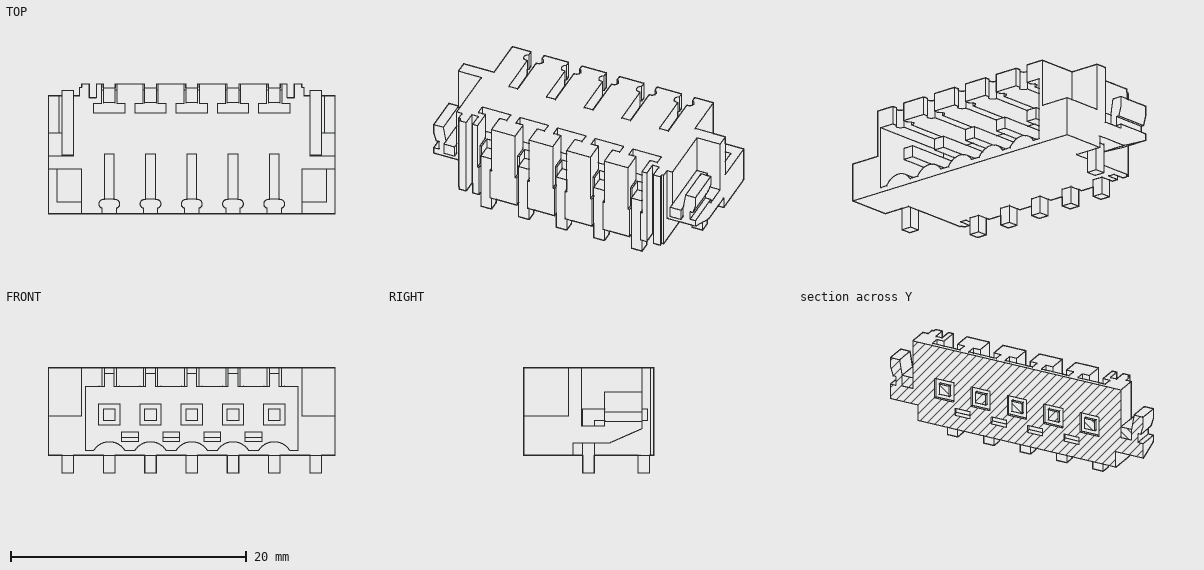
import cadquery as cq


housing_length = 24.35
housing_depth = 11.05
housing_height = 7.45
half_length = housing_length / 2
core_half = 9.35
rear_step_half = 9.53
rear_step_end = 10.75
side_half = 10.03
side_end = 10.05

pin_count = 5
pitch = 3.5
pin_positions = [(i - (pin_count - 1) / 2) * pitch for i in range(pin_count)]
gap_positions = [x + pitch / 2 for x in pin_positions[:-1]]
pin_size = 1.0
pin_axis_z = 3.46
pin_bottom = pin_axis_z - pin_size / 2
pin_top = pin_axis_z + pin_size / 2
tail_length = 1.5
contact_tip = 1.27
contact_rear = 10.7
contact_leg_front = contact_rear - pin_size

anchor_x = side_half + pin_size / 2
anchor_front = 5.0
anchor_rear = 10.5

cavity_half = 9.0
cavity_floor = 0.43
cavity_roof = 5.85
cavity_depth = 8.0
ridge_half_width = 1.32
ridge_height = 0.73
collar_size = 1.8
collar_depth = 0.4
window_width = 1.42
window_bottom = 1.16
window_ramp_top = 1.54
window_top = 1.98
window_depth = 0.4

slot_width = 0.83
slot_end = 5.07
slot_skin = 0.5
keyhole_width = 1.77
keyhole_length = 0.75
keyhole_center = 0.85
keyhole_neck = 1.22

pocket_width = 2.65
pocket_front = 8.55
pocket_rear = 9.37
pocket_floor = 4.9
notch_width = 1.3
notch_front = 9.46
notch_mouth = 10.53
notch_mouth_floor = pin_bottom
rear_slit_x = 8.4
rear_slit_width = 0.6
rear_slit_depth = 1.18

flange_front = 3.82
flange_rear = 4.93
corner_height = 3.35
corner_wall_side = 0.75
corner_wall_front = 1.02
corner_floor = cavity_floor

undercut_front = 4.17
undercut_height = 1.04
wedge_start = 7.25
wedge_end_height = 2.27
shelf_height = 2.5
arm_front = 6.87
arm_top = 5.37
arm_bevel_head = 4.46
arm_groove_top = 3.67
arm_groove_bottom = 2.87
arm_groove_depth = 0.5
arm_inner = side_half + pin_size
arm_bevel = 0.24


def box(x0, x1, y0, y1, z0, z1):
    """Axis-aligned block between two opposite corners."""
    return cq.Workplane("XY").box(x1 - x0, y1 - y0, z1 - z0, centered=False).translate((x0, y0, z0))


def centered_box(x, width, y0, y1, z0, z1):
    """Block centred on x along the pin row."""
    return box(x - width / 2, x + width / 2, y0, y1, z0, z1)


def angled_pin(x, front, rear, leg_front):
    """Square pin: a horizontal bar with a leg passing down through the board."""
    bar = centered_box(x, pin_size, front, rear, pin_bottom, pin_top)
    leg = centered_box(x, pin_size, leg_front, leg_front + pin_size, -tail_length, pin_top)
    return bar.union(leg)


def contact_pin(x):
    return angled_pin(x, contact_tip, contact_rear, contact_leg_front)


def solder_anchor(x):
    return angled_pin(x, anchor_front, anchor_rear, anchor_front)


def side_profile(top):
    """Block right across the housing, wedge-shaped underneath behind the flange."""
    points = [
        (0, 0),
        (undercut_front, 0),
        (undercut_front, undercut_height),
        (wedge_start, undercut_height),
        (side_end, wedge_end_height),
        (side_end, top),
        (0, top),
    ]
    return cq.Workplane("YZ").polyline(points).close().extrude(half_length, both=True)


def housing_shell():
    """Outer form: centre block, rear steps, thick sides, flanges, corner steps and shelves."""
    core = box(-core_half, core_half, 0, housing_depth, 0, housing_height)
    rear_step = box(-rear_step_half, rear_step_half, flange_front, rear_step_end, 0, housing_height)
    sides = side_profile(housing_height).intersect(
        box(-side_half, side_half, flange_front, side_end, 0, housing_height))
    flanges = side_profile(housing_height).intersect(
        box(-half_length, half_length, flange_front, flange_rear, 0, housing_height))
    corners = box(-half_length, half_length, 0, flange_front, 0, corner_height)
    shelves = side_profile(shelf_height).intersect(
        box(-half_length, half_length, flange_front, side_end, 0, shelf_height))
    return core.union(rear_step).union(sides).union(flanges).union(corners).union(shelves)


def retaining_arm():
    """Grooved arm on the +X shelf, with the seat that carries the anchor bar."""
    points = [
        (side_half, shelf_height),
        (half_length, shelf_height),
        (half_length, arm_groove_bottom),
        (half_length - arm_groove_depth, arm_groove_bottom),
        (half_length - arm_groove_depth, arm_groove_top),
        (half_length - arm_bevel, arm_groove_top),
        (half_length, arm_bevel_head),
        (half_length, arm_top),
        (arm_inner + arm_bevel, arm_top),
        (arm_inner, pin_top),
        (arm_inner, pin_bottom),
        (side_half, pin_bottom),
    ]
    arm = cq.Workplane("XZ").polyline(points).close().extrude(-(side_end - arm_front))
    return arm.translate((0, arm_front, 0))


def corner_pocket():
    """Open-topped pocket in the +X corner step."""
    return box(core_half, half_length - corner_wall_side,
               corner_wall_front, flange_front, corner_floor, corner_height)


def cavity_ridge(x):
    """Arched ridge along the cavity floor below a pin."""
    ridge = (
        cq.Workplane("XZ")
        .moveTo(x - ridge_half_width, cavity_floor)
        .threePointArc((x, cavity_floor + ridge_height), (x + ridge_half_width, cavity_floor))
        .close()
        .extrude(-cavity_depth)
    )
    return ridge


def mating_cavity():
    """Front opening with its ridged floor left standing."""
    cavity = box(-cavity_half, cavity_half, 0, cavity_depth, cavity_floor, cavity_roof)
    for x in pin_positions:
        cavity = cavity.cut(cavity_ridge(x))
    return cavity


def roof_slot(x):
    """Slot in the roof: keyhole at the mating face, closed on top towards the rear."""
    open_slot = centered_box(x, slot_width, 0, slot_end, cavity_roof, housing_height)
    closed_slot = centered_box(x, slot_width, 0, cavity_depth, cavity_roof, housing_height - slot_skin)
    neck = centered_box(x, keyhole_neck, 0, keyhole_center, cavity_roof, housing_height)
    keyhole = (
        cq.Workplane("XY", origin=(x, keyhole_center, cavity_roof))
        .slot2D(keyhole_width, keyhole_length)
        .extrude(housing_height - cavity_roof)
    )
    return open_slot.union(closed_slot).union(neck).union(keyhole)


def pin_collar(x):
    """Square recess around a pin in the rear wall of the cavity."""
    return centered_box(x, collar_size, cavity_depth, cavity_depth + collar_depth,
                        pin_axis_z - collar_size / 2, pin_axis_z + collar_size / 2)


def key_window(x):
    """Pocket in the rear cavity wall with a ramped floor."""
    points = [
        (cavity_depth, window_bottom),
        (cavity_depth + window_depth, window_ramp_top),
        (cavity_depth + window_depth, window_top),
        (cavity_depth, window_top),
    ]
    pocket = cq.Workplane("YZ").polyline(points).close().extrude(window_width / 2, both=True)
    return pocket.translate((x, 0, 0))


def rear_opening(x):
    """Assembly opening behind a pin: leg groove, wider upper notch and cross pocket."""
    groove = centered_box(x, pin_size, contact_leg_front, housing_depth, 0, housing_height)
    entry = centered_box(x, pin_size, notch_front, housing_depth, pin_top, housing_height)
    notch = centered_box(x, notch_width, pocket_rear, housing_depth, pocket_floor, housing_height)
    mouth = centered_box(x, notch_width, notch_mouth, housing_depth, notch_mouth_floor, housing_height)
    pocket = centered_box(x, pocket_width, pocket_front, pocket_rear, pocket_floor, housing_height)
    return groove.union(entry).union(notch).union(mouth).union(pocket)


def rear_slit(x):
    return centered_box(x, rear_slit_width, housing_depth - rear_slit_depth, housing_depth,
                        0, housing_height)


def build_housing(pins):
    """Complete housing, with a matching passage for every pin that enters it."""
    body = housing_shell()
    for feature in (retaining_arm(), retaining_arm().mirror("YZ")):
        body = body.union(feature)
    for pocket in (corner_pocket(), corner_pocket().mirror("YZ")):
        body = body.cut(pocket)
    body = body.cut(mating_cavity())
    for x in pin_positions:
        body = body.cut(roof_slot(x)).cut(pin_collar(x)).cut(rear_opening(x))
    for x in gap_positions:
        body = body.cut(key_window(x))
    for x in (-rear_slit_x, rear_slit_x):
        body = body.cut(rear_slit(x))
    for pin in pins:
        body = body.cut(pin)
    return body


contacts = [contact_pin(x) for x in pin_positions]
anchors = [solder_anchor(x) for x in (-anchor_x, anchor_x)]
housing = build_housing(contacts + anchors)

result = cq.Compound.makeCompound([body.val() for body in [housing] + contacts + anchors])